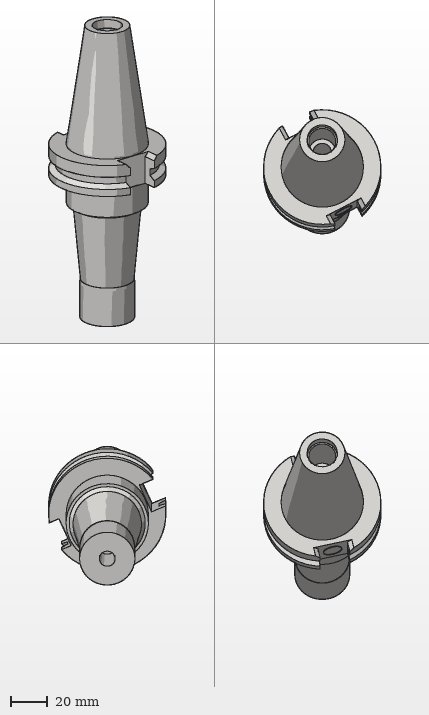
import cadquery as cq

total_height = 169.8
nut_height = 22.5
cone_top = 64.7
collar_bottom = 66.8
flange_bottom = 82.7
groove_lower_edge = 86.8
groove_lower_root = 88.7
groove_upper_root = 92.4
groove_upper_edge = 94.0
flange_top = 100.7
taper_bottom = 101.7

taper_top_radius = 12.2
taper_radius = 22.3
flange_radius = 31.8
groove_radius = 28.2
collar_radius = 22.3
collar_undercut_radius = 20.5
cone_top_radius = 18.5
cone_bottom_radius = 14.6

nut_radius = 15.0
nut_rim_radius = 14.8
nut_rim_height = 2.0
nut_bore_radius = 4.2

mouth_radius = 8.2
mouth_depth = 5.0
thread_radius = 7.3
thread_depth = 32.0
coolant_radius = 5.0

slot_width = 16.5
slot_chamfer = 2.4
left_slot_floor = 25.0
right_slot_floor = 22.6

recess_radius = 5.1
recess_depth = 0.3
recess_height = 90.7


def make_turned_body():
    """Revolve the holder's outside: nose cone, collar, grooved flange and taper."""
    profile = [
        (0, nut_height),
        (cone_bottom_radius, nut_height),
        (cone_top_radius, cone_top),
        (collar_undercut_radius, collar_bottom),
        (collar_radius, collar_bottom),
        (collar_radius, flange_bottom),
        (flange_radius, flange_bottom),
        (flange_radius, groove_lower_edge),
        (groove_radius, groove_lower_root),
        (groove_radius, groove_upper_root),
        (flange_radius, groove_upper_edge),
        (flange_radius, flange_top),
        (taper_radius, flange_top),
        (taper_radius, taper_bottom),
        (taper_top_radius, total_height),
        (0, total_height),
    ]
    return cq.Workplane("XZ").polyline(profile).close().revolve(360, (0, 0), (0, 1))


def make_bore():
    """Cutter for the mouth, the threaded length and the coolant passage."""
    top = cq.Workplane("XY").workplane(offset=total_height)
    mouth = top.circle(mouth_radius).extrude(-mouth_depth)
    thread = top.circle(thread_radius).extrude(-thread_depth)
    passage = top.circle(coolant_radius).extrude(nut_height - total_height)
    return mouth.union(thread).union(passage)


def make_slot(floor_distance, side):
    """Cutter for a flange slot whose mouth flares at the top; side is -1 or +1 along X."""
    half_width = slot_width / 2
    flared_half_width = half_width + slot_chamfer
    section = [
        (-half_width, flange_bottom),
        (half_width, flange_bottom),
        (half_width, flange_top - slot_chamfer),
        (flared_half_width, flange_top),
        (-flared_half_width, flange_top),
        (-half_width, flange_top - slot_chamfer),
    ]
    return (
        cq.Workplane("YZ")
        .workplane(offset=side * floor_distance)
        .polyline(section)
        .close()
        .extrude(side * (flange_radius - floor_distance))
    )


def make_recess():
    """Cutter for the round recess in the left slot floor."""
    return (
        cq.Workplane("YZ")
        .workplane(offset=-left_slot_floor)
        .center(0, recess_height)
        .circle(recess_radius)
        .extrude(recess_depth)
    )


def make_holder():
    """Tool holder with its bore, two drive slots and recess."""
    holder = make_turned_body().cut(make_bore())
    holder = holder.cut(make_slot(left_slot_floor, -1))
    holder = holder.cut(make_slot(right_slot_floor, 1))
    return holder.cut(make_recess())


def make_nut():
    """Plain nut with a slightly tapered rim, seated against the holder's nose."""
    profile = [
        (nut_bore_radius, 0),
        (nut_radius, 0),
        (nut_radius, nut_height - nut_rim_height),
        (nut_rim_radius, nut_height),
        (nut_bore_radius, nut_height),
    ]
    return cq.Workplane("XZ").polyline(profile).close().revolve(360, (0, 0), (0, 1))


holder = make_holder()
nut = make_nut()
result = cq.Compound.makeCompound([holder.val(), nut.val()])